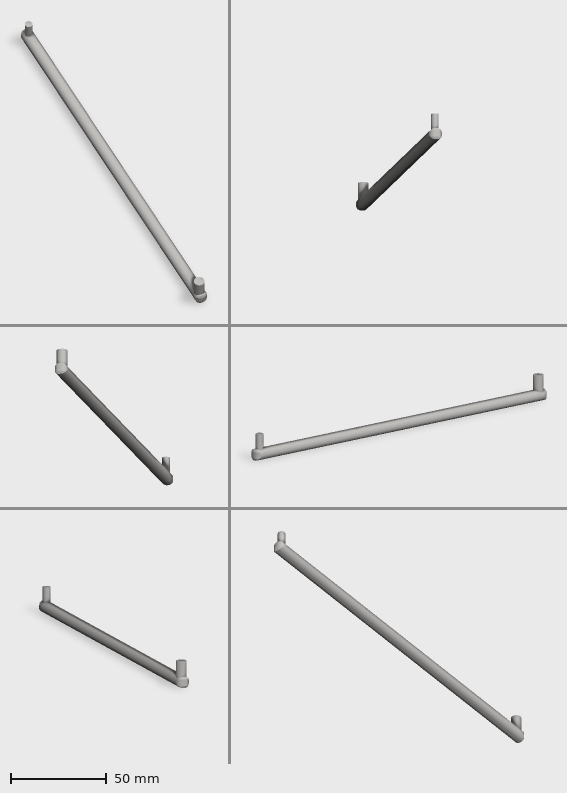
import cadquery as cq

length = 200.0
bar_width = 7.0
bar_height = 6.0
height = 14.0

end_corner_radius = 3.0

small_pin_diameter = 4.0
large_pin_diameter = 5.5
small_pin_inset = 4.0
large_pin_inset = 4.2

nose_chamfer_inset = 0.5
nose_chamfer_height = 1.2


def rounded_bar():
    """Bar along X with a slot-shaped section and rounded, chamfered ends."""
    bar = (
        cq.Workplane("YZ", origin=(0, 0, bar_height / 2))
        .slot2D(bar_width, bar_height)
        .extrude(length)
    )
    end_envelope = (
        cq.Workplane("XY")
        .box(length, bar_width, bar_height, centered=(False, True, False))
        .edges("|Z")
        .fillet(end_corner_radius)
        .faces("<Z or >Z")
        .chamfer(nose_chamfer_height, nose_chamfer_inset)
    )
    return bar.intersect(end_envelope)


def pin(x, diameter):
    """Vertical pin from the middle of the bar up to the full height."""
    base = bar_height / 2
    return (
        cq.Workplane("XY", origin=(x, 0, base))
        .circle(diameter / 2)
        .extrude(height - base)
    )


result = (
    rounded_bar()
    .union(pin(small_pin_inset, small_pin_diameter))
    .union(pin(length - large_pin_inset, large_pin_diameter))
)